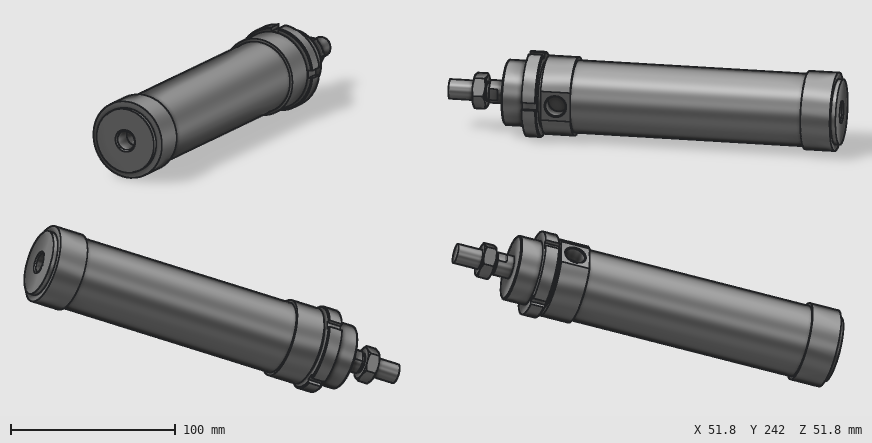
import cadquery as cq
import math


length = 242.0
rear_boss_length = 3.0
collar_length = 18.2
front_collar_start = 163.5
front_collar_end = front_collar_start + collar_length
nose_end = 206.7
ring_start = 184.0
ring_width = 9.0
nut_start = 218.8
nut_width = 7.7
rod_shoulder = 216.8

nose_diameter = 40.0
collar_diameter = 48.0
tube_diameter = 44.3
nose_chamfer = 0.7
port_diameter = 12.3
port_mouth_diameter = 13.5
port_depth = 9.7
rear_hole_diameter = 11.9
rear_mouth_diameter = 13.8
rear_hole_depth = 12.0
drill_point_angle = 118.0

ring_diameter = 52.0
ring_chamfer = 0.7
slot_count = 4
slot_width = 4.8
slot_floor_radius = 23.5

rod_diameter = 14.0
thread_diameter = 12.0
undercut_diameter = 10.0
wrench_width = 12.0
wrench_flat_length = 4.5
wrench_runout_radius = 1.1
rod_insertion = nose_end - front_collar_start

nut_sides = 6
nut_across_flats = 19.4
nut_across_corners = nut_across_flats / math.cos(math.pi / nut_sides)
nut_chamfer_angle = 30.0


def cylinder(diameter, start, end):
    """Cylinder on the Y axis between two Y positions."""
    return cq.Workplane("XZ", origin=(0, start, 0)).circle(diameter / 2).extrude(start - end)


def revolve_about_y(points):
    """Solid of revolution about Y from (radius, Y) points."""
    return cq.Workplane("XY").polyline(points).close().revolve(360, (0, 0), (0, 1))


def hole_cutter(diameter, mouth_diameter, depth):
    """Blind hole from Y = 0 towards +Y, with a 45 degree mouth chamfer and a flat floor."""
    radius = diameter / 2
    mouth_radius = mouth_diameter / 2
    return revolve_about_y([
        (0, 0),
        (mouth_radius, 0),
        (radius, mouth_radius - radius),
        (radius, depth),
        (0, depth),
    ])


def make_housing():
    nose = cylinder(nose_diameter, front_collar_end, nose_end).faces(">Y").chamfer(nose_chamfer)
    front_collar = cylinder(collar_diameter, front_collar_start, front_collar_end)
    tube = cylinder(tube_diameter, rear_boss_length + collar_length, front_collar_start)
    rear_collar = cylinder(collar_diameter, rear_boss_length, rear_boss_length + collar_length)
    rear_boss = cylinder(nose_diameter, 0, rear_boss_length)
    body = rear_boss.union(rear_collar).union(tube).union(front_collar).union(nose)

    port_y = front_collar_start + collar_length / 2
    flat_x = -tube_diameter / 2
    flat_cutter = cq.Workplane("XY").box(
        collar_diameter, collar_length, collar_diameter
    ).translate((flat_x - collar_diameter / 2, port_y, 0))
    port_cutter = (
        hole_cutter(port_diameter, port_mouth_diameter, port_depth)
        .rotate((0, 0, 0), (0, 0, 1), -90)
        .translate((flat_x, port_y, 0))
    )

    point_length = rear_hole_diameter / 2 / math.tan(math.radians(drill_point_angle / 2))
    drill_point = revolve_about_y([
        (0, rear_hole_depth),
        (rear_hole_diameter / 2, rear_hole_depth),
        (0, rear_hole_depth + point_length),
    ])
    rear_hole = hole_cutter(rear_hole_diameter, rear_mouth_diameter, rear_hole_depth)

    rod_bore = cylinder(rod_diameter, nose_end - rod_insertion, nose_end)
    return body.cut(flat_cutter).cut(port_cutter).cut(rear_hole).cut(drill_point).cut(rod_bore)


def make_ring_nut():
    ring_end = ring_start + ring_width
    ring = cylinder(ring_diameter, ring_start, ring_end).faces("<Y").chamfer(ring_chamfer)
    ring = ring.cut(cylinder(nose_diameter, ring_start, ring_end))
    slot_height = ring_diameter / 2
    slot_cutter = cq.Workplane("XY").box(slot_width, ring_width, slot_height).translate(
        (0, ring_start + ring_width / 2, slot_floor_radius + slot_height / 2)
    )
    for index in range(slot_count):
        angle = index * 360 / slot_count
        ring = ring.cut(slot_cutter.rotate((0, 0, 0), (0, 1, 0), angle))
    return ring


def make_rod():
    shank = cylinder(rod_diameter, nose_end - rod_insertion, rod_shoulder)
    undercut = cylinder(undercut_diameter, rod_shoulder, nut_start)
    thread = cylinder(thread_diameter, nut_start, length)
    rod = shank.union(undercut).union(thread)

    flat_x = wrench_width / 2
    flat_end = rod_shoulder - wrench_flat_length
    runout_x = flat_x + wrench_runout_radius
    flat_cutter = (
        cq.Workplane("XY")
        .moveTo(flat_x, rod_shoulder)
        .lineTo(flat_x, flat_end)
        .radiusArc((runout_x, flat_end - wrench_runout_radius), -wrench_runout_radius)
        .lineTo(runout_x, rod_shoulder)
        .close()
        .extrude(rod_diameter / 2, both=True)
    )
    return rod.cut(flat_cutter).cut(flat_cutter.mirror("YZ"))


def make_hex_nut():
    nut_end = nut_start + nut_width
    hexagon = (
        cq.Workplane("XZ", origin=(0, nut_start, 0))
        .polygon(nut_sides, nut_across_corners)
        .extrude(-nut_width)
    )
    face_radius = nut_across_flats / 2
    corner_radius = nut_across_corners / 2
    chamfer_height = (corner_radius - face_radius) * math.tan(math.radians(nut_chamfer_angle))
    chamfer_envelope = revolve_about_y([
        (0, nut_start),
        (face_radius, nut_start),
        (corner_radius, nut_start + chamfer_height),
        (corner_radius, nut_end - chamfer_height),
        (face_radius, nut_end),
        (0, nut_end),
    ])
    return hexagon.intersect(chamfer_envelope).cut(cylinder(thread_diameter, nut_start, nut_end))


housing = make_housing().solids()
ring_nut = make_ring_nut().solids()
rod = make_rod().solids()
hex_nut = make_hex_nut().solids()

result = cq.Compound.makeCompound([housing.val(), ring_nut.val(), rod.val(), hex_nut.val()])